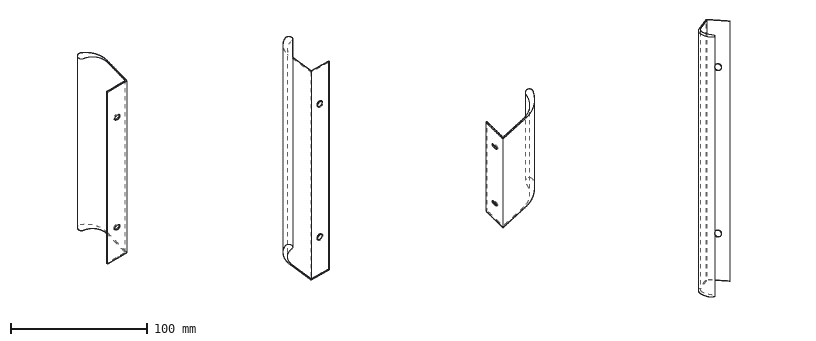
import cadquery as cq
import math

width = 42.0
depth = 18.0
length = 200.0

thickness = 1.0

tip_radius = 3.0
tip_x = tip_radius
tip_y = 5.5
outer_start_x = 18.0
inner_start_x = 19.5

hole_diameter = 5.2
hole_spacing = 128.0
hole_y = depth / 2


def grip_arc(start_x, start_y, side):
    """Find the arc that leaves the web tangentially and meets the tip circle tangentially.

    side is -1 where the arc encloses the tip circle and +1 where the tip lies outside the arc.
    Returns the middle point and the end point of the arc.
    """
    run = start_x - tip_x
    drop = start_y - tip_y
    radius = (run**2 + drop**2 - tip_radius**2) / (2 * (drop + side * tip_radius))
    center_y = start_y - radius
    end_angle = math.atan2(tip_y - center_y, tip_x - start_x)
    middle_angle = (math.pi / 2 + end_angle) / 2

    def point(angle):
        return (start_x + radius * math.cos(angle), center_y + radius * math.sin(angle))

    return point(middle_angle), point(end_angle)


def make_profile_body():
    """Extrude the closed cross-section of grip, web and flange along Z."""
    web_inner_y = depth - thickness
    flange_inner_x = width - thickness
    outer_middle, outer_end = grip_arc(outer_start_x, depth, -1)
    inner_middle, inner_end = grip_arc(inner_start_x, web_inner_y, 1)
    return (
        cq.Workplane("XY")
        .moveTo(width, 0)
        .lineTo(width, depth)
        .lineTo(outer_start_x, depth)
        .threePointArc(outer_middle, outer_end)
        .threePointArc((tip_x, tip_y - tip_radius), inner_end)
        .threePointArc(inner_middle, (inner_start_x, web_inner_y))
        .lineTo(flange_inner_x, web_inner_y)
        .lineTo(flange_inner_x, 0)
        .close()
        .extrude(length)
    )


def make_hole_cutters():
    """Two cylinders through the flange, symmetric about mid-length."""
    hole_points = [(hole_y, (length + side * hole_spacing) / 2) for side in (-1, 1)]
    return (
        cq.Workplane("YZ", origin=(width - 2 * thickness, 0, 0))
        .pushPoints(hole_points)
        .circle(hole_diameter / 2)
        .extrude(3 * thickness)
    )


result = make_profile_body().cut(make_hole_cutters())